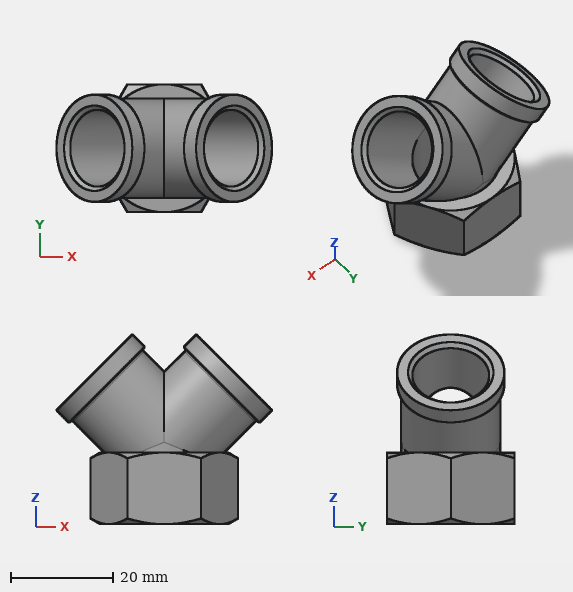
import cadquery as cq
import math

across_flats = 25.0
nut_height = 14.0
nut_chamfer_angle = math.radians(30)

tube_diameter = 19.45
bore_diameter = 15.0
junction_height = 16.0
arm_tilt = math.radians(45)

overall_width = 42.15
collar_diameter = 21.0
collar_length = 3.5
collar_edge_round = 0.25
collar_root_round = 0.45
mouth_chamfer = 0.85

tube_radius = tube_diameter / 2
bore_radius = bore_diameter / 2
collar_radius = collar_diameter / 2

arm_length = (overall_width / 2 - collar_radius * math.cos(arm_tilt)) / math.sin(arm_tilt)


def make_nut():
    """Hexagon with corners along X, both ends chamfered down to the inscribed circle."""
    corner_radius = across_flats / math.sqrt(3)
    flat_radius = across_flats / 2
    drop = (corner_radius - flat_radius) * math.tan(nut_chamfer_angle)
    hexagon = cq.Workplane("XY").polygon(6, 2 * corner_radius).extrude(nut_height)
    chamfer_envelope = (
        cq.Workplane("XZ")
        .moveTo(0, 0)
        .lineTo(flat_radius, 0)
        .lineTo(corner_radius, drop)
        .lineTo(corner_radius, nut_height - drop)
        .lineTo(flat_radius, nut_height)
        .lineTo(0, nut_height)
        .close()
        .revolve(360, (0, 0, 0), (0, 1, 0))
    )
    return hexagon.intersect(chamfer_envelope)


def place_arm(shape, side):
    """Tilt a vertical shape about Y towards side (+1 or -1) and lift it to the junction."""
    tilted = shape.rotate((0, 0, 0), (0, 1, 0), side * math.degrees(arm_tilt))
    return tilted.translate((0, 0, junction_height))


def make_arm():
    """Solid arm: tube with a filleted root and a collar with a rounded back edge."""
    collar_start = arm_length - collar_length
    return (
        cq.Workplane("XZ")
        .moveTo(0, 0)
        .lineTo(tube_radius, 0)
        .lineTo(tube_radius, collar_start - collar_root_round)
        .radiusArc((tube_radius + collar_root_round, collar_start), collar_root_round)
        .lineTo(collar_radius - collar_edge_round, collar_start)
        .radiusArc((collar_radius, collar_start + collar_edge_round), -collar_edge_round)
        .lineTo(collar_radius, arm_length)
        .lineTo(0, arm_length)
        .close()
        .revolve(360, (0, 0, 0), (0, 1, 0))
    )


def make_arm_bore():
    """Arm bore widening to a 45 degree chamfer at the mouth."""
    return (
        cq.Workplane("XZ")
        .moveTo(0, 0)
        .lineTo(bore_radius, 0)
        .lineTo(bore_radius, arm_length - mouth_chamfer)
        .lineTo(bore_radius + mouth_chamfer, arm_length)
        .lineTo(0, arm_length)
        .close()
        .revolve(360, (0, 0, 0), (0, 1, 0))
    )


leg = cq.Workplane("XY").circle(tube_radius).extrude(junction_height)
body = make_nut().union(leg)
for side in (-1, 1):
    body = body.union(place_arm(make_arm(), side))

leg_bore = cq.Workplane("XY").circle(bore_radius).extrude(junction_height)
body = body.cut(leg_bore)
for side in (-1, 1):
    body = body.cut(place_arm(make_arm_bore(), side))

result = body